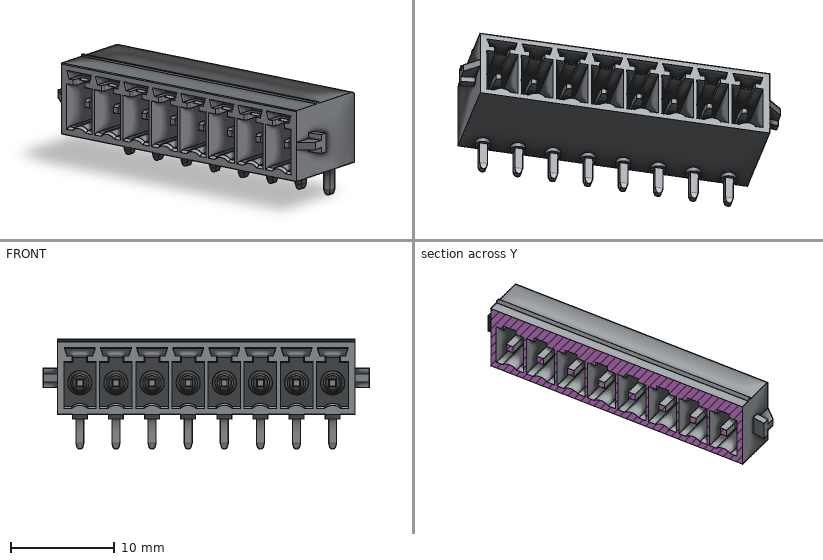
import cadquery as cq

body_length = 28.85
body_depth = 9.2
body_height = 7.1
back_edge_radius = 0.47
front_edge_chamfer = 0.1

rib_height = 0.2
rib_width = 0.38
rib_setback = 3.2

position_count = 8
row_span = 24.5
pitch = row_span / (position_count - 1)
contact_width = 0.8
contact_z = 3.05
embed = 0.32

cell_depth = 6.95
cell_wall = 0.35
end_wall = 0.65
lead_in_depth = 0.38
mouth_floor = 0.57
cell_floor = 0.75
mouth_ceiling = 5.12
cell_ceiling = 5.05

ridge_width = 1.6
ridge_height = 0.32

slot_depth = 1.9
slot_top_width = 2.97
slot_bottom_width = 2.45
mouth_slot_top = 6.48
slot_top = 6.38
slot_bottom = 5.65

mouth_neck_width = 1.52
neck_width = 1.33
groove_top = 5.5
lip_front = 0.9
lip_back = 1.2

boss_base_radius = 1.17
boss_step_radius = 0.9
boss_top_radius = 0.7
boss_cone_height = 0.63
boss_tip_height = 0.13

blade_setback = 1.15
tip_length = 0.57
tip_width = 0.57
nose_height = 0.15

tail_setback = 1.2
tail_length = 3.35
standoff_radius = 0.73
standoff_height = 0.45

overall_length = 31.6
clip_reach = (overall_length - body_length) / 2
clip_z = 3.55
clip_arm_height = 0.75
clip_head_height = 1.9
clip_ramp_end = 1.23
clip_head_front = 2.18
clip_head_back = 2.9
clip_back_slope = 0.22


def position_x(index):
    """X of one contact along the row."""
    return -row_span / 2 + index * pitch


def flared_pocket(mouth, section, depth):
    """Pocket with the XZ outline `section`, widening to the outline `mouth` at Y = 0."""
    inner_end = cq.Vector(0, lead_in_depth, 0)
    lead_in = cq.Solid.makeLoft([mouth.wire().val(), section.wire().val().translate(inner_end)], True)
    run = section.extrude(lead_in_depth - depth).translate(inner_end)
    return run.union(cq.Workplane(lead_in))


def housing():
    """Solid block with its key rib."""
    block = (
        cq.Workplane("XY")
        .box(body_length, body_depth, body_height, centered=(True, False, False))
        .edges("|X and >Y and >Z").fillet(back_edge_radius)
        .edges("|X and <Y and >Z").chamfer(front_edge_chamfer)
    )
    rib = (
        cq.Workplane("XY")
        .box(body_length, rib_width, body_height + rib_height, centered=(True, False, False))
        .edges("|X and >Y and >Z").fillet(rib_height)
        .translate((0, rib_setback, 0))
    )
    return block.union(rib)


def cell_outline(left, right, center, floor, ceiling):
    """Cavity section with an arched ridge on its floor."""
    return (
        cq.Workplane("XZ")
        .moveTo(left, ceiling)
        .lineTo(left, floor)
        .lineTo(center - ridge_width / 2, floor)
        .threePointArc((center, floor + ridge_height), (center + ridge_width / 2, floor))
        .lineTo(right, floor)
        .lineTo(right, ceiling)
        .close()
    )


def trapezoid_outline(center, bottom, top, bottom_width, top_width):
    """Symmetrical XZ trapezoid about X = center."""
    return (
        cq.Workplane("XZ")
        .polyline([
            (center - top_width / 2, top),
            (center - bottom_width / 2, bottom),
            (center + bottom_width / 2, bottom),
            (center + top_width / 2, top),
        ])
        .close()
    )


def latch_slot(center):
    """Trapezoidal pocket whose ceiling flares at the mouth."""
    mouth = trapezoid_outline(
        center, slot_bottom, mouth_slot_top, slot_bottom_width, slot_top_width)
    section = trapezoid_outline(center, slot_bottom, slot_top, slot_bottom_width, slot_top_width)
    return flared_pocket(mouth, section, slot_depth)


def neck(center):
    """Opening between slot and cavity, continued as a groove in the cavity ceiling."""
    mouth = trapezoid_outline(
        center, cell_ceiling, slot_bottom, mouth_neck_width, mouth_neck_width)
    section = trapezoid_outline(center, cell_ceiling, slot_bottom, neck_width, neck_width)
    side_profile = (
        cq.Workplane("YZ", origin=(center - mouth_neck_width / 2, 0, 0))
        .polyline([
            (0, cell_ceiling),
            (0, slot_bottom),
            (lip_back, slot_bottom),
            (lip_front, groove_top),
            (cell_depth, groove_top),
            (cell_depth, cell_ceiling),
        ])
        .close()
        .extrude(mouth_neck_width)
    )
    return flared_pocket(mouth, section, cell_depth).intersect(side_profile)


def cavity(index):
    """Everything cut away for one contact; the end cavities stop at the end walls."""
    center = position_x(index)
    half_width = (pitch - cell_wall) / 2
    row_end = body_length / 2 - end_wall
    left = max(center - half_width, -row_end)
    right = min(center + half_width, row_end)

    mouth = cell_outline(left, right, center, mouth_floor, mouth_ceiling)
    section = cell_outline(left, right, center, cell_floor, cell_ceiling)
    cell = flared_pocket(mouth, section, cell_depth)
    return cell.union(neck(center)).union(latch_slot(center))


def contact_bar(length):
    """Square bar rising from Z = 0 to Z = length; its tapered tip ends in a round nose."""
    shoulder = length - tip_length
    nose_start = length - nose_height
    bar = (
        cq.Workplane("XY")
        .rect(contact_width, contact_width)
        .extrude(shoulder)
    )
    tip = (
        cq.Workplane("XY", origin=(0, 0, shoulder))
        .rect(contact_width, contact_width)
        .workplane(offset=tip_length)
        .rect(tip_width, tip_width)
        .loft()
    )
    nose_profile = (
        cq.Workplane("XZ", origin=(0, contact_width / 2, 0))
        .moveTo(-contact_width / 2, shoulder)
        .lineTo(-tip_width / 2, nose_start)
        .threePointArc((0, length), (tip_width / 2, nose_start))
        .lineTo(contact_width / 2, shoulder)
        .close()
        .extrude(contact_width)
    )
    return bar.union(tip.intersect(nose_profile))


def blade(index):
    """Mating end of one contact, standing on its boss at the back of the cavity."""
    bar = (
        contact_bar(cell_depth - blade_setback + embed)
        .rotate((0, 0, 0), (1, 0, 0), 90)
        .translate((0, embed, 0))
    )
    boss = (
        cq.Workplane("XY")
        .polyline([
            (0, -embed),
            (boss_base_radius, -embed),
            (boss_base_radius, 0),
            (boss_step_radius, boss_cone_height),
            (boss_top_radius, boss_cone_height + boss_tip_height),
            (0, boss_cone_height + boss_tip_height),
        ]).close()
        .revolve(360, (0, 0, 0), (0, 1, 0))
        .rotate((0, 0, 0), (0, 0, 1), 180)
    )
    return bar.union(boss).translate((position_x(index), cell_depth, contact_z))


def tail(index):
    """Solder end of one contact, hanging below the housing."""
    bar = (
        contact_bar(tail_length + embed)
        .rotate((0, 0, 0), (1, 0, 0), 180)
        .translate((0, 0, embed))
    )
    standoff = cq.Workplane("XY").circle(standoff_radius).extrude(-standoff_height)
    return bar.union(standoff).translate((position_x(index), body_depth - tail_setback, 0))


def clip():
    """Clip on the -X end: ramped arm with a taller head."""
    wall = -body_length / 2
    tip = wall - clip_reach

    def prism(points, height):
        return (
            cq.Workplane("XY", origin=(0, 0, clip_z - height / 2))
            .polyline(points).close().extrude(height)
        )

    arm = prism([
        (wall, 0), (tip, clip_ramp_end), (tip, clip_head_back),
        (wall, clip_head_back - clip_back_slope),
    ], clip_arm_height)
    head = prism([
        (wall, clip_head_front - clip_back_slope), (tip, clip_head_front), (tip, clip_head_back),
        (wall, clip_head_back - clip_back_slope),
    ], clip_head_height)
    return arm.union(head)


result = housing()
for position in range(position_count):
    result = result.cut(cavity(position))
    result = result.union(blade(position)).union(tail(position))
left_clip = clip()
result = result.union(left_clip).union(left_clip.mirror("YZ"))